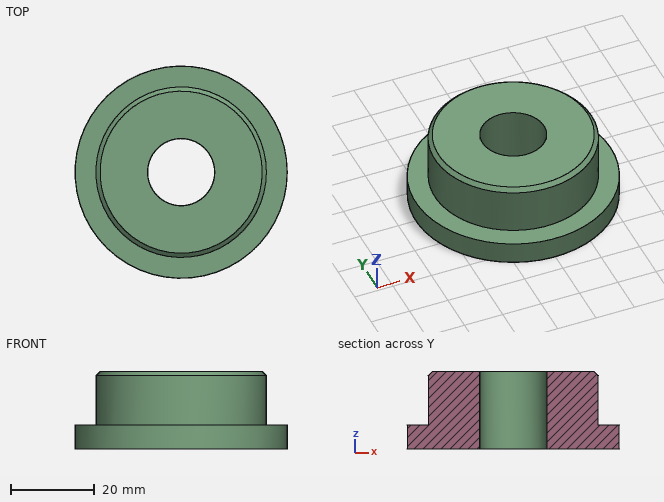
import cadquery as cq

flange_diameter = 50.85
flange_thickness = 5.8
boss_diameter = 40.85
total_height = 18.6
bore_diameter = 16.0
boss_chamfer = 1.0

boss_height = total_height - flange_thickness

flange = cq.Workplane("XY").circle(flange_diameter / 2).extrude(flange_thickness)

boss = (
    cq.Workplane("XY")
    .workplane(offset=flange_thickness)
    .circle(boss_diameter / 2)
    .extrude(boss_height)
    .faces(">Z")
    .chamfer(boss_chamfer)
)

bore = cq.Workplane("XY").circle(bore_diameter / 2).extrude(total_height)

result = flange.union(boss).cut(bore)